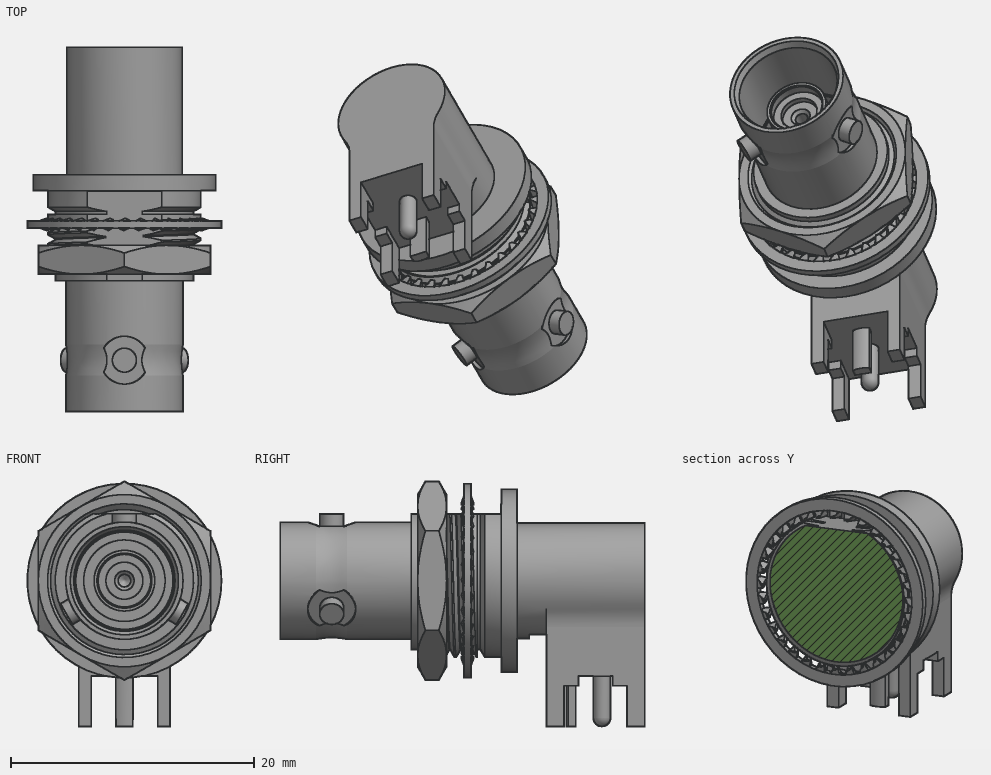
import cadquery as cq
import math

LENGTH = 30.0

FRONT_BARREL_D = 9.65
REAR_BARREL_D = 9.53
REAR_FLAT_Z = -4.43
REAR_FLAT_START_Y = 20.5
COLLAR_D = 11.38
COLLAR_Y = 10.77
FLANGE_D = 15.06
FLANGE_FRONT_Y = 18.2
FLANGE_REAR_Y = 19.5

THREAD_D = 12.6
THREAD_ROOT_D = 11.42
THREAD_PITCH = 0.907
THREAD_ROOT_FLAT = 0.08
THREAD_HALF_ANGLE = math.radians(30)
THREAD_FRONT_Y = 11.33
THREAD_GROOVE_START_Y = 11.01
THREAD_TURNS = 5.5
RELIEF_LENGTH = 0.25
SHANK_START_Y = 16.83
FLAT_Z = 5.5
FLAT_TO_FLANGE = 0.07

NUT_ACROSS_FLATS = 14.17
NUT_FRONT_Y = 11.31
NUT_THICKNESS = 2.38
NUT_BORE_D = 11.7
NUT_BORE_MOUTH_D = 12.65
NUT_CHAMFER_ANGLE = math.radians(30)

STUD_COUNT = 3
STUD_Y = 4.24
STUD_D = 1.98
STUD_TIP_R = 5.5
SPOT_FACE_D = 3.94
SPOT_FACE_R = 4.46
RING_GROOVE_WIDTH = 2.55
RING_GROOVE_DEPTH = 0.14

MOUTH_D = 8.9
MOUTH_CHAMFER_LENGTH = 0.54
BORE_D = 8.34
BORE_STEP_Y = 7.0
FLOOR_D = 8.0
FLOOR_RIM_D = 8.1
FLOOR_Y = 8.5
SHOULDER_D = 6.71
SHOULDER_HEIGHT = 0.5
POST_D = 5.0
POST_FRONT_Y = 3.15
POST_MOUTH_D = 4.52
POST_BORE_D = 4.32
POST_FLOOR_Y = 4.0
CONTACT_RECESS_D = 3.05
CONTACT_FACE_Y = 4.5
CONTACT_MOUTH_D = 1.6
CONTACT_HOLE_D = 1.04
CONTACT_HOLE_DEPTH = 3.0
DRILL_TIP_ANGLE = math.radians(59)

BLOCK_WIDTH = 7.53
BLOCK_FRONT_Y = 21.9
BLOCK_BOTTOM_Z = -7.85
SIDE_FILLET_R = 3.0
PLATE_THICKNESS = 1.04
SHOULDER_Z = -8.66
SHOULDER_SLOT_WIDTH = 2.8
LEG_DEPTH = 1.47
LEG_BOTTOM_Z = -12.0
GROUND_PIN_WIDTH = 1.4
GROUND_PIN_REAR_Y = 24.32
GROUND_PIN_SIDE_DEPTH = 0.63
GROUND_PIN_BULGE = 0.16
SOLDER_PIN_D = 1.44
SOLDER_PIN_Y = 26.47

WASHER_D = 16.0
WASHER_BORE_D = 14.0
WASHER_Y = 15.11
WASHER_THICKNESS = 0.6
TOOTH_COUNT = 32
TOOTH_TIP_R = 6.4
TOOTH_ROOT_R = 7.1
TOOTH_WIDTH = 0.98
TOOTH_ROOT_THICKNESS = 0.5
TOOTH_TIP_THICKNESS = 0.3
TOOTH_TWIST = 65.0


def disc(diameter, y_start, y_end):
    """Cylinder on the connector axis between two Y positions."""
    length = y_end - y_start
    return cq.Workplane("XZ", origin=(0, y_start, 0)).circle(diameter / 2).extrude(-length)


def block(x_size, y_start, y_end, z_start, z_end, x_center=0.0):
    """Box centred on x_center, between the given Y and Z positions."""
    return cq.Workplane("XY", origin=(x_center, (y_start + y_end) / 2, z_start)).box(
        x_size, y_end - y_start, z_end - z_start, centered=(True, True, False)
    )


def revolved(points):
    """Solid of revolution about the connector axis from (radius, y) points."""
    return cq.Workplane("XY").polyline(points).close().revolve(360, (0, 0, 0), (0, 1, 0))


def thread_groove():
    """Right-handed V groove, as a solid to be cut from the threaded length."""
    overcut = 0.05
    root_r = THREAD_ROOT_D / 2
    outer_r = THREAD_D / 2 + overcut
    root_half = THREAD_ROOT_FLAT / 2
    outer_half = root_half + (outer_r - root_r) * math.tan(THREAD_HALF_ANGLE)
    path = cq.Wire.makeHelix(THREAD_PITCH, THREAD_PITCH * THREAD_TURNS, root_r)
    groove = (
        cq.Workplane("XZ")
        .polyline([(root_r, -root_half), (outer_r, -outer_half), (outer_r, outer_half), (root_r, root_half)])
        .close()
        .sweep(cq.Workplane(path), isFrenet=True)
    )
    return groove.rotate((0, 0, 0), (1, 0, 0), -90).translate((0, THREAD_GROOVE_START_Y, 0))


def threaded_section():
    """Collar, thread and plain shank, flattened along the top."""
    collar_r = COLLAR_D / 2
    thread_r = THREAD_D / 2
    flank_length = (thread_r - collar_r) * math.tan(THREAD_HALF_ANGLE)
    relief_end_y = SHANK_START_Y - flank_length
    crest_start_y = THREAD_FRONT_Y + flank_length
    crest_end_y = relief_end_y - RELIEF_LENGTH
    thread = disc(THREAD_D, crest_start_y, crest_end_y).cut(thread_groove())
    front = revolved(
        [
            (0, COLLAR_Y),
            (collar_r, COLLAR_Y),
            (collar_r, THREAD_FRONT_Y),
            (thread_r, crest_start_y),
            (0, crest_start_y),
        ]
    )
    rear = revolved(
        [
            (0, crest_end_y),
            (collar_r, crest_end_y),
            (collar_r, relief_end_y),
            (thread_r, SHANK_START_Y),
            (thread_r, FLANGE_FRONT_Y),
            (0, FLANGE_FRONT_Y),
        ]
    )
    section = thread.union(front).union(rear)
    flat_end_y = FLANGE_FRONT_Y - FLAT_TO_FLANGE
    return section.cut(block(THREAD_D, COLLAR_Y, flat_end_y, FLAT_Z, THREAD_D))


def hex_nut():
    """Hexagon with corners on the Z axis, chamfered on both faces and at both ends of its bore."""
    corner_r = NUT_ACROSS_FLATS / math.sqrt(3)
    face_r = NUT_ACROSS_FLATS / 2
    drop = (corner_r - face_r) * math.tan(NUT_CHAMFER_ANGLE)
    y_front = NUT_FRONT_Y
    y_rear = NUT_FRONT_Y + NUT_THICKNESS
    nut = (
        cq.Workplane("XZ", origin=(0, y_front, 0))
        .transformed(rotate=(0, 0, 90))
        .polygon(6, 2 * corner_r)
        .extrude(-NUT_THICKNESS)
    )
    bore_r = NUT_BORE_D / 2
    mouth_r = NUT_BORE_MOUTH_D / 2
    bore_chamfer = mouth_r - bore_r
    envelope = revolved(
        [
            (bore_r, y_front + bore_chamfer),
            (mouth_r, y_front),
            (face_r, y_front),
            (corner_r, y_front + drop),
            (corner_r, y_rear - drop),
            (face_r, y_rear),
            (mouth_r, y_rear),
            (bore_r, y_rear - bore_chamfer),
        ]
    )
    return nut.intersect(envelope)


def bayonet_barrel():
    """Front barrel with its ring groove, spot faces and bayonet studs."""
    barrel_r = FRONT_BARREL_D / 2
    half_width = RING_GROOVE_WIDTH / 2
    barrel = (
        cq.Workplane("XY")
        .moveTo(0, 0)
        .lineTo(barrel_r, 0)
        .lineTo(barrel_r, STUD_Y - half_width)
        .threePointArc((barrel_r - RING_GROOVE_DEPTH, STUD_Y), (barrel_r, STUD_Y + half_width))
        .lineTo(barrel_r, COLLAR_Y)
        .lineTo(0, COLLAR_Y)
        .close()
        .revolve(360, (0, 0, 0), (0, 1, 0))
    )
    spot_face = cq.Workplane("XY", origin=(0, STUD_Y, SPOT_FACE_R)).circle(SPOT_FACE_D / 2).extrude(1)
    stud_root_r = (BORE_D / 2 + SPOT_FACE_R) / 2
    stud = (
        cq.Workplane("XY", origin=(0, STUD_Y, stud_root_r))
        .circle(STUD_D / 2)
        .extrude(STUD_TIP_R - stud_root_r)
    )
    for i in range(STUD_COUNT):
        angle = i * 360 / STUD_COUNT
        barrel = barrel.cut(spot_face.rotate((0, 0, 0), (0, 1, 0), angle))
        barrel = barrel.union(stud.rotate((0, 0, 0), (0, 1, 0), angle))
    return barrel


def socket():
    """Cavity of the mating face, leaving the shouldered central post standing."""
    mouth_r = MOUTH_D / 2
    bore_r = BORE_D / 2
    rim_r = FLOOR_RIM_D / 2
    floor_r = FLOOR_D / 2
    shoulder_r = SHOULDER_D / 2
    shoulder_y = FLOOR_Y - SHOULDER_HEIGHT
    post_r = POST_D / 2
    post_mouth_r = POST_MOUTH_D / 2
    post_bore_r = POST_BORE_D / 2
    recess_r = CONTACT_RECESS_D / 2
    hole_r = CONTACT_HOLE_D / 2
    hole_mouth_r = CONTACT_MOUTH_D / 2
    hole_end_y = CONTACT_FACE_Y + CONTACT_HOLE_DEPTH
    return revolved(
        [
            (0, 0),
            (mouth_r, 0),
            (bore_r, MOUTH_CHAMFER_LENGTH),
            (bore_r, BORE_STEP_Y),
            (rim_r, BORE_STEP_Y),
            (floor_r, BORE_STEP_Y + rim_r - floor_r),
            (floor_r, FLOOR_Y),
            (shoulder_r, FLOOR_Y),
            (shoulder_r, shoulder_y),
            (post_r, shoulder_y),
            (post_r, POST_FRONT_Y),
            (post_mouth_r, POST_FRONT_Y),
            (post_bore_r, POST_FRONT_Y + post_mouth_r - post_bore_r),
            (post_bore_r, POST_FLOOR_Y),
            (recess_r, POST_FLOOR_Y),
            (recess_r, CONTACT_FACE_Y),
            (hole_mouth_r, CONTACT_FACE_Y),
            (hole_r, CONTACT_FACE_Y + hole_mouth_r - hole_r),
            (hole_r, hole_end_y),
            (0, hole_end_y + hole_r / math.tan(DRILL_TIP_ANGLE)),
        ]
    )


def mount_block():
    """Block below the rear barrel, blended into it by a concave fillet on each side."""
    barrel_r = REAR_BARREL_D / 2
    half_width = BLOCK_WIDTH / 2
    fillet_x = half_width + SIDE_FILLET_R
    reach = barrel_r + SIDE_FILLET_R
    fillet_z = -math.sqrt(reach**2 - fillet_x**2)
    touch_x = fillet_x * barrel_r / reach
    touch_z = fillet_z * barrel_r / reach
    mid_angle = (math.pi + math.atan2(-fillet_z, -fillet_x)) / 2
    mid_x = fillet_x + SIDE_FILLET_R * math.cos(mid_angle)
    mid_z = fillet_z + SIDE_FILLET_R * math.sin(mid_angle)
    return (
        cq.Workplane("XZ", origin=(0, BLOCK_FRONT_Y, 0))
        .moveTo(0, 0)
        .lineTo(touch_x, touch_z)
        .threePointArc((mid_x, mid_z), (half_width, fillet_z))
        .lineTo(half_width, BLOCK_BOTTOM_Z)
        .lineTo(-half_width, BLOCK_BOTTOM_Z)
        .lineTo(-half_width, fillet_z)
        .threePointArc((-mid_x, mid_z), (-touch_x, touch_z))
        .close()
        .extrude(-(LENGTH - BLOCK_FRONT_Y))
    )


def side_plate(side):
    """Plate with two legs and a stepped gap between them, on side -1 or +1 of X."""
    x_center = side * (BLOCK_WIDTH - PLATE_THICKNESS) / 2
    middle_y = (BLOCK_FRONT_Y + LENGTH) / 2
    slot_half = SHOULDER_SLOT_WIDTH / 2
    leg_front_y = BLOCK_FRONT_Y + LEG_DEPTH
    leg_rear_y = LENGTH - LEG_DEPTH
    plate = block(PLATE_THICKNESS, BLOCK_FRONT_Y, LENGTH, LEG_BOTTOM_Z, BLOCK_BOTTOM_Z, x_center)
    leg_gap = block(PLATE_THICKNESS, leg_front_y, leg_rear_y, LEG_BOTTOM_Z, SHOULDER_Z, x_center)
    slot = block(
        PLATE_THICKNESS, middle_y - slot_half, middle_y + slot_half, SHOULDER_Z, BLOCK_BOTTOM_Z, x_center
    )
    return plate.cut(leg_gap).cut(slot)


def ground_pin():
    """Flat pin with a slightly rounded front face."""
    half_width = GROUND_PIN_WIDTH / 2
    side_front_y = GROUND_PIN_REAR_Y - GROUND_PIN_SIDE_DEPTH
    return (
        cq.Workplane("XY", origin=(0, 0, LEG_BOTTOM_Z))
        .moveTo(-half_width, GROUND_PIN_REAR_Y)
        .lineTo(-half_width, side_front_y)
        .threePointArc((0, side_front_y - GROUND_PIN_BULGE), (half_width, side_front_y))
        .lineTo(half_width, GROUND_PIN_REAR_Y)
        .close()
        .extrude(BLOCK_BOTTOM_Z - LEG_BOTTOM_Z)
    )


def solder_pin():
    """Round pin with a hemispherical tip."""
    pin_r = SOLDER_PIN_D / 2
    tip_center_z = LEG_BOTTOM_Z + pin_r
    shaft = (
        cq.Workplane("XY", origin=(0, SOLDER_PIN_Y, tip_center_z))
        .circle(pin_r)
        .extrude(BLOCK_BOTTOM_Z - tip_center_z)
    )
    tip = cq.Workplane("XY", origin=(0, SOLDER_PIN_Y, tip_center_z)).sphere(pin_r)
    return shaft.union(tip)


def rear_barrel():
    """Rear barrel, flattened underneath behind the flange."""
    barrel = disc(REAR_BARREL_D, FLANGE_REAR_Y, LENGTH)
    return barrel.cut(block(REAR_BARREL_D, REAR_FLAT_START_Y, LENGTH, -REAR_BARREL_D, REAR_FLAT_Z))


def connector_body():
    """Connector with its nut, board mount, legs and pins."""
    body = threaded_section()
    body = body.union(bayonet_barrel())
    body = body.cut(socket())
    body = body.union(disc(FLANGE_D, FLANGE_FRONT_Y, FLANGE_REAR_Y))
    body = body.union(rear_barrel())
    body = body.union(mount_block())
    for side in (-1, 1):
        body = body.union(side_plate(side))
    body = body.union(ground_pin())
    body = body.union(solder_pin())
    return body.union(hex_nut())


def washer_tooth():
    """Tooth at the top of the washer, twisting as it narrows toward the axis."""
    middle_y = WASHER_Y + WASHER_THICKNESS / 2
    root = cq.Workplane("XY", origin=(0, middle_y, TOOTH_ROOT_R)).rect(TOOTH_WIDTH, TOOTH_ROOT_THICKNESS)
    tip = (
        cq.Workplane("XY", origin=(0, middle_y, TOOTH_TIP_R))
        .transformed(rotate=(0, 0, TOOTH_TWIST))
        .rect(TOOTH_WIDTH, TOOTH_TIP_THICKNESS)
    )
    return cq.Workplane(cq.Solid.makeLoft([tip.wires().val(), root.wires().val()], True))


def lock_washer():
    """Flat ring with inward teeth."""
    ring = disc(WASHER_D, WASHER_Y, WASHER_Y + WASHER_THICKNESS)
    ring = ring.cut(disc(WASHER_BORE_D, WASHER_Y, WASHER_Y + WASHER_THICKNESS))
    tooth = washer_tooth()
    teeth = [tooth.rotate((0, 0, 0), (0, 1, 0), i * 360 / TOOTH_COUNT).val() for i in range(TOOTH_COUNT)]
    return cq.Workplane(ring.val().fuse(*teeth))


connector = connector_body()
washer = lock_washer()
result = cq.Compound.makeCompound([connector.val(), washer.val()])